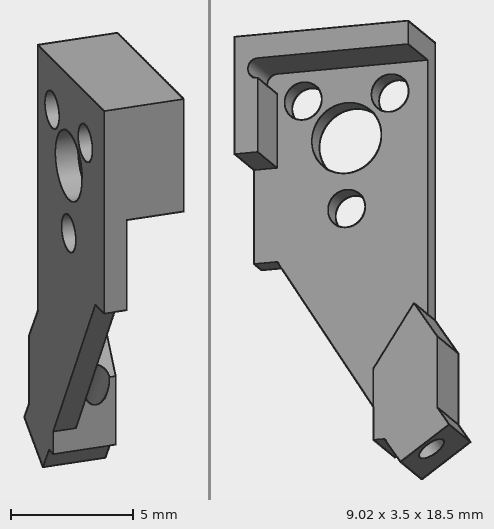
import cadquery as cq
import math

wall = 1.0
plate_width = 7.5
plate_side_height = 9.0
arm_right_x = 1.75
arm_slope_end_z = -16.5
arm_heel_z = -17.5
arm_left_x = -1.0
arm_left_top_z = -11.83
arm_left_bottom_z = -16.36

flange_depth = 3.5
side_wall_height = 5.0
relief_diameter = 0.84

tail_left_x = -1.52
tail_width = 2.53
arm_block_depth = 2.75
tail_bore_diameter = 1.2
bore_length = 6.0

hole_x = 3.5
center_hole_z = -4.0
center_hole_diameter = 3.0
screw_hole_diameter = 1.6
upper_screw_spacing = 3.75
upper_screw_z = -2.25
lower_screw_z = -7.0

slope = 1.5
slope_angle = math.atan(slope)
along_x = math.cos(slope_angle)
along_z = math.sin(slope_angle)

tail_left_z = arm_left_bottom_z + (tail_left_x - arm_left_x) * slope
tail_tip_x = tail_left_x + tail_width * along_z
tail_tip_z = tail_left_z - tail_width * along_x
heel_x = tail_tip_x + (arm_heel_z - tail_tip_z) / slope


def box(x_min, x_max, depth, z_min, z_max):
    """Box standing on the front plane and reaching back by depth."""
    return cq.Workplane("XY").box(
        x_max - x_min, depth, z_max - z_min, centered=False
    ).translate((x_min, 0, z_min))


def cylinder_y(x, z, diameter, depth):
    """Cylinder running back from the front plane."""
    return (
        cq.Workplane("XZ").center(x, z).circle(diameter / 2).extrude(-depth)
    )


def silhouette(depth):
    """Plate and arm outline, extruded back from the front plane."""
    outline = [
        (0, 0),
        (plate_width, 0),
        (plate_width, -plate_side_height),
        (plate_width - wall, -plate_side_height),
        (arm_right_x, arm_slope_end_z),
        (arm_right_x, arm_heel_z),
        (heel_x, arm_heel_z),
        (tail_tip_x, tail_tip_z),
        (tail_left_x, tail_left_z),
        (arm_left_x, arm_left_bottom_z),
        (arm_left_x, arm_left_top_z + arm_left_x * slope),
        (0, arm_left_top_z),
    ]
    return cq.Workplane("XZ").polyline(outline).close().extrude(-depth)


def arm_block():
    """Thick lower arm, its gabled top peaking at the plate's left edge."""
    region_outline = [
        (0, arm_left_top_z),
        (arm_right_x, arm_left_top_z - arm_right_x * slope),
        (arm_right_x, tail_tip_z),
        (tail_left_x, tail_tip_z),
        (tail_left_x, arm_left_top_z + tail_left_x * slope),
    ]
    region = cq.Workplane("XZ").polyline(region_outline).close().extrude(-arm_block_depth)
    return silhouette(arm_block_depth).intersect(region)


def flanges():
    """Roof and right side wall, with a round relief in their inner corner."""
    roof = box(0, plate_width, flange_depth, -wall, 0)
    side_wall = box(plate_width - wall, plate_width, flange_depth, -side_wall_height, 0)
    relief = cylinder_y(
        plate_width - wall, -wall - relief_diameter / 2, relief_diameter, flange_depth
    )
    return roof.union(side_wall).cut(relief)


def plate_holes():
    """Central hole and its three screw holes."""
    holes = cylinder_y(hole_x, center_hole_z, center_hole_diameter, wall)
    screw_positions = [
        (hole_x - upper_screw_spacing / 2, upper_screw_z),
        (hole_x + upper_screw_spacing / 2, upper_screw_z),
        (hole_x, lower_screw_z),
    ]
    for x, z in screw_positions:
        holes = holes.union(cylinder_y(x, z, screw_hole_diameter, wall))
    return holes


def tail_bore():
    """Bore along the arm, centred in the tail end and in the block behind the plate."""
    start = cq.Vector(
        (tail_left_x + tail_tip_x) / 2,
        (wall + arm_block_depth) / 2,
        (tail_left_z + tail_tip_z) / 2,
    )
    direction = cq.Vector(along_x, 0, along_z)
    return cq.Solid.makeCylinder(tail_bore_diameter / 2, bore_length, start, direction)


result = (
    flanges()
    .union(silhouette(wall))
    .union(arm_block())
    .cut(plate_holes())
    .cut(tail_bore())
)